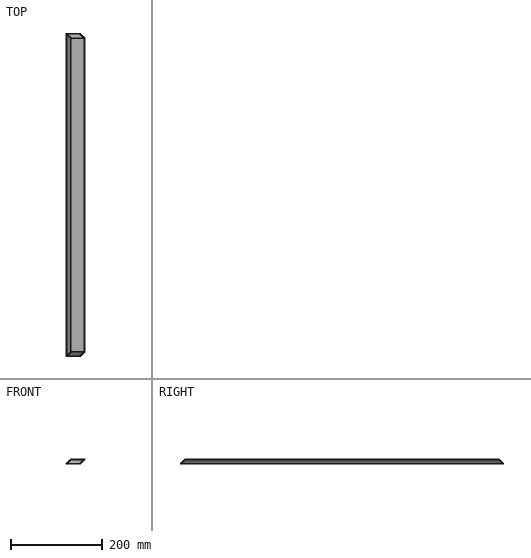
import cadquery as cq

length = 709.0
width = 40.0
height = 10.0

slope_run = height
half_length = length / 2
half_width = width / 2

section = [
    (-half_width, 0),
    (half_width - slope_run, 0),
    (half_width, height),
    (-half_width + slope_run, height),
]
bar = cq.Workplane("XZ").polyline(section).close().extrude(half_length, both=True)

side_profile = [
    (-half_length, 0),
    (half_length, 0),
    (half_length - slope_run, height),
    (-half_length + slope_run, height),
]
end_bevels = cq.Workplane("YZ").polyline(side_profile).close().extrude(half_width, both=True)

result = bar.intersect(end_bevels)